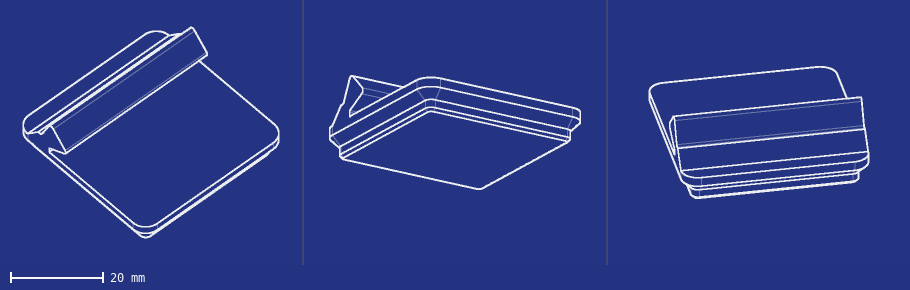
import cadquery as cq
import math

plate_side = 41.5
overall_height = 16.0
corner_radius = 3.75
foot_inset = 2.15
toe_chamfer = 0.7
foot_top = 2.55
plate_bottom = foot_top + foot_inset
plate_top = 6.85
foot_side = plate_side - 2 * foot_inset
foot_radius = corner_radius - foot_inset

rail_left = corner_radius - plate_side / 2
shoulder_left = -13.55
shoulder_right = -12.6
shoulder_height = 10.5
rail_right = -10.05
head_width = 5.48
head_radius = 0.85
neck_radius = 0.62
root_radius = 0.35
flank_slope = 2.0
face_angle = 45.0


def rounded_block(side, radius, bottom, top):
    block = cq.Workplane("XY").workplane(offset=bottom).rect(side, side).extrude(top - bottom)
    return block.edges("|Z").fillet(radius)


def make_base():
    foot = rounded_block(foot_side, foot_radius, 0, foot_top)
    foot = foot.faces("<Z").edges().chamfer(toe_chamfer)
    plate = rounded_block(plate_side, corner_radius, foot_top, plate_top)
    plate = plate.faces("<Z").edges().chamfer(foot_inset)
    return foot.union(plate)


def make_rail():
    flank_angle = math.degrees(math.atan(flank_slope))
    half_angle = math.radians((180 - flank_angle - face_angle) / 2)
    bisector = math.radians((flank_angle + 90 + face_angle) / 2)
    corner_rise = head_radius * (math.sin(bisector) / math.sin(half_angle) - 1)
    head_top = overall_height + corner_rise
    head_left = shoulder_right + (head_top - shoulder_height) / flank_slope
    head_right = head_left + head_width
    head_low = head_top - head_width
    root_height = head_low - (head_right - rail_right) / flank_slope

    outline = [
        (rail_left, plate_top),
        (shoulder_left, shoulder_height),
        (shoulder_right, shoulder_height),
        (head_left, head_top),
        (head_right, head_low),
        (rail_right, root_height),
        (rail_right, plate_bottom),
        (rail_left, plate_bottom),
    ]
    rail = cq.Workplane("XZ").polyline(outline).close().extrude(plate_side / 2, both=True)

    rounds = [
        (shoulder_right, shoulder_height, neck_radius),
        (head_left, head_top, head_radius),
        (head_right, head_low, head_radius),
        (rail_right, root_height, root_radius),
    ]
    for x, z, radius in rounds:
        rail = rail.edges(cq.selectors.NearestToPointSelector((x, 0, z))).fillet(radius)
    return rail


result = make_base().union(make_rail())